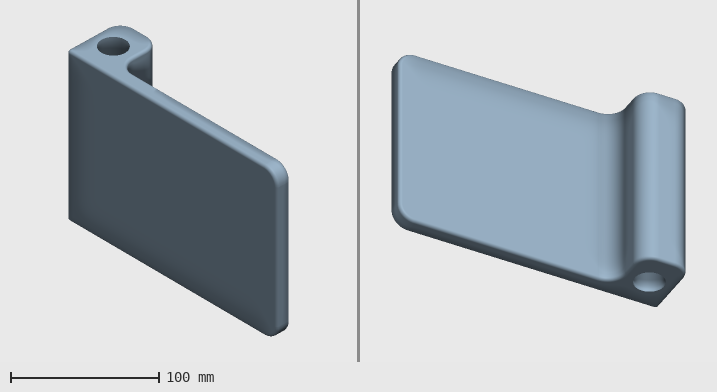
import cadquery as cq

length = 203.2
depth = 50.8
height = 139.8

plate_thickness = depth / 4
barrel_width = 3 * plate_thickness
corner_radius = plate_thickness
edge_radius = plate_thickness / 5
pin_diameter = 22.1
pin_x = barrel_width / 2
pin_y = depth / 2

body = (
    cq.Workplane("XY")
    .moveTo(0, 0)
    .lineTo(length, 0)
    .lineTo(length, plate_thickness)
    .lineTo(barrel_width, plate_thickness)
    .lineTo(barrel_width, depth)
    .lineTo(0, depth)
    .close()
    .extrude(height)
)

back_edges = body.edges("|Z and >Y")
inside_corner = body.edges(cq.selectors.NearestToPointSelector((barrel_width, plate_thickness, height / 2)))
body = back_edges.add(inside_corner).fillet(corner_radius)

body = body.edges("|Y and >X").fillet(corner_radius)

outer_edges = body.faces("<Y or >Z or <Z or >X").edges()
body = outer_edges.fillet(edge_radius)

pin_hole = cq.Workplane("XY").center(pin_x, pin_y).circle(pin_diameter / 2).extrude(height)
result = body.cut(pin_hole)